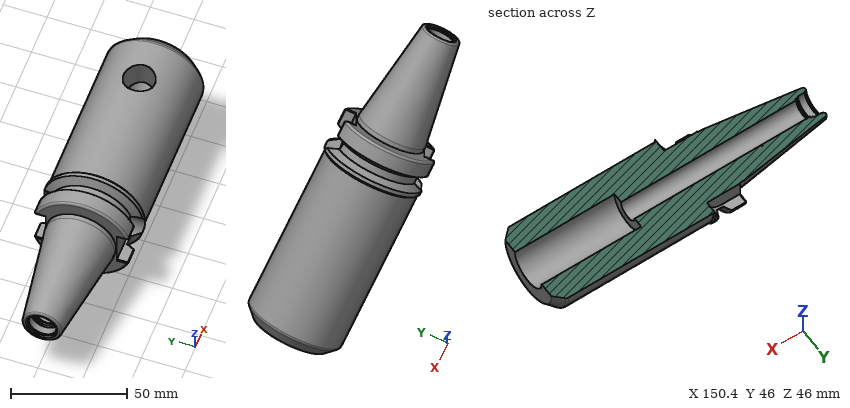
import cadquery as cq

total_length = 150.4
taper_end = 48.5
flange_start = 50.7
groove_start = 58.4
groove_floor_start = 60.5
groove_floor_end = 64.0
groove_end = 66.3
flange_end = 68.3
body_start = 69.0
nose_chamfer_start = 145.5

taper_small_radius = 17.7 / 2
gauge_radius = 31.9 / 2
flange_radius = 46.0 / 2
groove_radius = 38.5 / 2
body_radius = 44.5 / 2
nose_radius = 17.5

small_end_round = 0.9
flange_round = 1.0
nose_shoulder_round = 1.7
nose_edge_round = 0.6

slot_width = 16.1
slot_floor_offset = 16.2
slot_tip = 68.0
slot_edge_chamfer = 0.5

passage_diameter = 10.1
pilot_diameter = 12.5
pilot_depth = 5.0
entry_diameter = 14.3
entry_cone_depth = 0.6
entry_recess_diameter = 13.1
entry_recess_depth = 1.4
pilot_step = 0.6
thread_mouth_diameter = 11.5
thread_mouth_depth = 6.6

bore_diameter = 20.0
bore_depth = 52.0
screw_hole_diameter = 14.3
screw_hole_x = 125.0


def revolve_about_axis(profile):
    """Revolve a closed XY profile a full turn about X."""
    return profile.close().revolve(360, (0, 0, 0), (1, 0, 0))


def round_edge_at(solid, x, radius, size):
    """Round the circular edge found at station x with the given radius."""
    margin = 0.02
    selector = cq.selectors.BoxSelector(
        (x - margin, -radius - margin, -radius - margin),
        (x + margin, radius + margin, radius + margin),
        boundingbox=True,
    )
    edges = solid.edges(selector).edges(cq.selectors.RadiusNthSelector(-1))
    return edges.fillet(size)


def make_outside():
    solid = revolve_about_axis(
        cq.Workplane("XY")
        .moveTo(0, 0)
        .lineTo(0, taper_small_radius)
        .lineTo(taper_end, gauge_radius)
        .lineTo(flange_start, gauge_radius)
        .lineTo(flange_start, flange_radius)
        .lineTo(groove_start, flange_radius)
        .lineTo(groove_floor_start, groove_radius)
        .lineTo(groove_floor_end, groove_radius)
        .lineTo(groove_end, flange_radius)
        .lineTo(flange_end, flange_radius)
        .lineTo(body_start, body_radius)
        .lineTo(nose_chamfer_start, body_radius)
        .lineTo(total_length, nose_radius)
        .lineTo(total_length, 0)
    )
    solid = round_edge_at(solid, 0, taper_small_radius, small_end_round)
    solid = round_edge_at(solid, flange_start, flange_radius, flange_round)
    solid = round_edge_at(solid, nose_chamfer_start, body_radius, nose_shoulder_round)
    return round_edge_at(solid, total_length, nose_radius, nose_edge_round)


def make_drive_slot(side):
    """Round-ended slot cutter on the +Y (side = 1) or -Y (side = -1) flank."""
    half_width = slot_width / 2
    arc_start = slot_tip - half_width
    return (
        cq.Workplane("XZ", origin=(0, side * slot_floor_offset, 0))
        .moveTo(flange_start, -half_width)
        .lineTo(arc_start, -half_width)
        .threePointArc((slot_tip, 0), (arc_start, half_width))
        .lineTo(flange_start, half_width)
        .close()
        .extrude(-side * flange_radius)
    )


def chamfer_slot_edges(solid):
    """Break the straight edges where the slot walls meet the flange rim."""
    margin = 0.2
    rim_edges = cq.selectors.BoxSelector(
        (flange_start + flange_round - margin, -flange_radius, -slot_width / 2 - margin),
        (groove_start + margin, flange_radius, slot_width / 2 + margin),
        boundingbox=True,
    )
    return solid.edges("|X").edges(rim_edges).chamfer(slot_edge_chamfer)


def make_passage():
    """Stepped axial cutter: countersunk entry, recess, pilot, passage and tool bore."""
    passage_radius = passage_diameter / 2
    recess_radius = entry_recess_diameter / 2
    pilot_radius = pilot_diameter / 2
    thread_mouth_radius = thread_mouth_diameter / 2
    bore_radius = bore_diameter / 2
    bore_start = total_length - bore_depth
    return revolve_about_axis(
        cq.Workplane("XY")
        .moveTo(0, 0)
        .lineTo(0, entry_diameter / 2)
        .lineTo(entry_cone_depth, recess_radius)
        .lineTo(entry_recess_depth, recess_radius)
        .lineTo(entry_recess_depth, pilot_radius)
        .lineTo(pilot_depth, pilot_radius)
        .lineTo(pilot_depth + pilot_step, thread_mouth_radius)
        .lineTo(thread_mouth_depth, thread_mouth_radius)
        .lineTo(thread_mouth_depth, passage_radius)
        .lineTo(bore_start, passage_radius)
        .lineTo(bore_start, bore_radius)
        .lineTo(total_length, bore_radius)
        .lineTo(total_length, 0)
    )


def make_screw_hole():
    """Radial cutter from the tool axis out through the +Z side."""
    return (
        cq.Workplane("XY")
        .center(screw_hole_x, 0)
        .circle(screw_hole_diameter / 2)
        .extrude(flange_radius)
    )


result = make_outside()
for flank in (1, -1):
    result = result.cut(make_drive_slot(flank))
result = chamfer_slot_edges(result)
result = result.cut(make_passage()).cut(make_screw_hole())